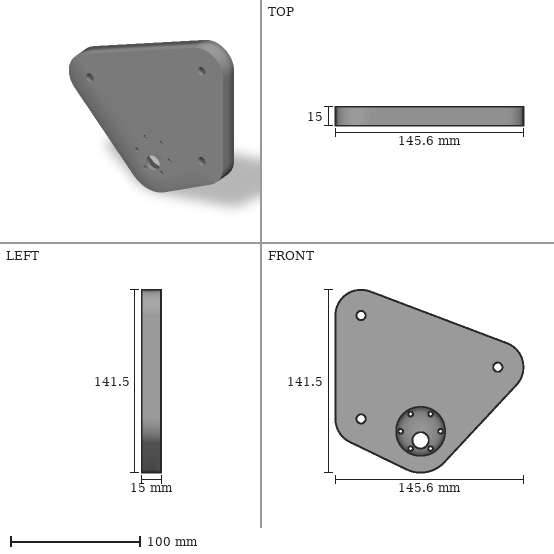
import cadquery as cq
import math

thickness = 15.0
length = 145.6
height = 141.5
corner_radius = 20.0
motor_corner_radius = 25.0

mount_spacing = 80.0
mount_hole_diameter = 7.0
lower_mount = (corner_radius, height - corner_radius - mount_spacing)
upper_mount = (corner_radius, height - corner_radius)
right_mount = (length - corner_radius, height - corner_radius - mount_spacing / 2)
mounts = [lower_mount, upper_mount, right_mount]

shaft = (lower_mount[0] + 46.0, motor_corner_radius)
shaft_hole_diameter = 12.5
shaft_offset = 7.0
motor = (shaft[0], shaft[1] + shaft_offset)
pocket_diameter = 38.0
pocket_depth = 12.0
screw_count = 6
screw_circle_radius = 15.5
screw_hole_diameter = 3.5


def offset_point(center, radius, angle):
    """Point at the given radius and angle (radians) from a center."""
    return (center[0] + radius * math.cos(angle), center[1] + radius * math.sin(angle))


def tangent_normal(start, end):
    """Angle of the outward normal of the outer tangent between two corner
    circles, each (center, radius), taken counter-clockwise."""
    (x0, z0), r0 = start
    (x1, z1), r1 = end
    direction = math.atan2(z1 - z0, x1 - x0)
    return direction - math.acos((r0 - r1) / math.hypot(x1 - x0, z1 - z0))


def rounded_plate(corners):
    """Plate whose outline wraps the corner circles with arcs and tangents."""
    count = len(corners)
    normals = [tangent_normal(corners[i], corners[(i + 1) % count]) for i in range(count)]
    outline = cq.Workplane("XZ").moveTo(*offset_point(*corners[0], normals[-1]))
    for i, (center, radius) in enumerate(corners):
        entry = normals[i - 1]
        sweep = (normals[i] - entry) % (2 * math.pi)
        outline = outline.threePointArc(
            offset_point(center, radius, entry + sweep / 2),
            offset_point(center, radius, normals[i]),
        )
        following = corners[(i + 1) % count]
        if i < count - 1:
            outline = outline.lineTo(*offset_point(*following, normals[i]))
    return outline.close().extrude(-thickness)


def cylinders(centers, diameter, depth):
    """Cutting cylinders running from the front face into the plate."""
    return cq.Workplane("XZ").pushPoints(centers).circle(diameter / 2).extrude(-depth)


plate = rounded_plate([
    (lower_mount, corner_radius),
    (shaft, motor_corner_radius),
    (right_mount, corner_radius),
    (upper_mount, corner_radius),
])
screws = [
    offset_point(motor, screw_circle_radius, 2 * math.pi * i / screw_count)
    for i in range(screw_count)
]

result = (
    plate
    .cut(cylinders(mounts, mount_hole_diameter, thickness))
    .cut(cylinders([motor], pocket_diameter, pocket_depth))
    .cut(cylinders([shaft], shaft_hole_diameter, thickness))
    .cut(cylinders(screws, screw_hole_diameter, thickness))
)